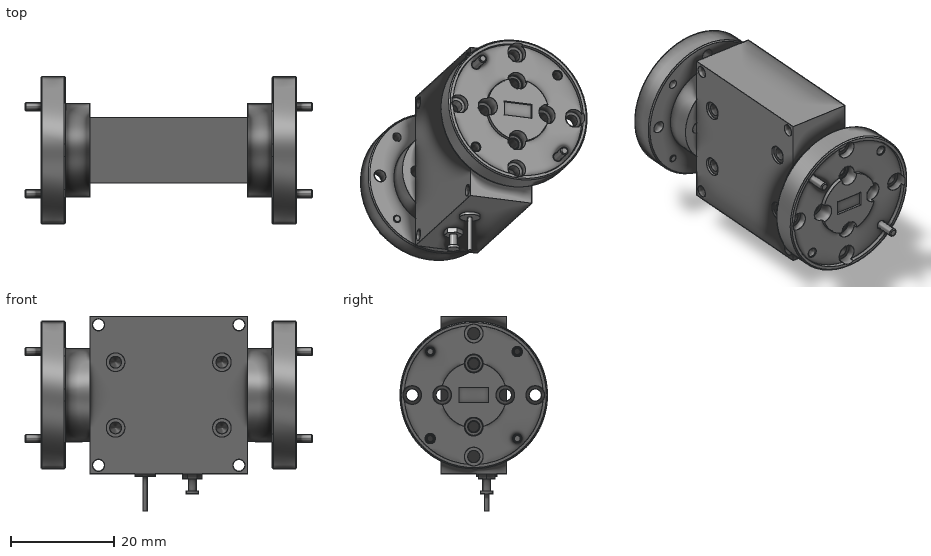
import cadquery as cq
import math

BLOCK_SIDE = 30.48
BLOCK_DEPTH = 12.7
CORNER_HOLE_DIAMETER = 2.26
CORNER_HOLE_OFFSET = 13.59

MOUNT_HOLE_X = 10.29
MOUNT_HOLE_Z = 6.35
MOUNT_HOLE_DIAMETER = 2.3
MOUNT_HOLE_DEPTH = 5.0
MOUNT_BORE_DIAMETER = 3.6
MOUNT_BORE_DEPTH = 0.5
DRILL_TIP_ANGLE = 118

FLANGE_DIAMETER = 28.575
FLANGE_THICKNESS = 4.76
FLANGE_CHAMFER = 0.25
NECK_DIAMETER = 18.1
NECK_LENGTH = 4.76
FACE_X = BLOCK_SIDE / 2 + NECK_LENGTH + FLANGE_THICKNESS

RECESS_OUTER_DIAMETER = 26.9
RECESS_INNER_DIAMETER = 12.7
RECESS_DEPTH = 0.85
WAVEGUIDE_WIDTH = 5.69
WAVEGUIDE_HEIGHT = 2.84
WAVEGUIDE_DEPTH = 0.5

BOLT_CIRCLE_RADIUS = 11.906
INNER_CIRCLE_RADIUS = 6.11
BOLT_HOLE_DIAMETER = 2.35
BOLT_BORE_DIAMETER = 3.62
OUTER_BORE_DEPTH = 2.4
SIDE_BORE_DEPTH = 3.2
UPRIGHT_BORE_DEPTH = 2.7
UPRIGHT_BORE_CHAMFER = 0.13
COUNTERSINK_HALF_ANGLE = 45
PIN_DIAMETER = 1.57
PIN_HOLE_DIAMETER = 1.7
PIN_SEAT_RIM_DIAMETER = 1.8
PIN_HOLE_RIM_DIAMETER = 2.0
OVERALL_LENGTH = 55.68
PIN_LENGTH = 8.0
PIN_CHAMFER = 0.2

TERMINAL_Y = 2.5
LEAD_X = -4.57
LEAD_DIAMETER = 0.91
LEAD_LENGTH = 7.24
LEAD_COLLAR_DIAMETER = 4.0
LEAD_COLLAR_HEIGHT = 0.5
POST_X = 4.57
POST_DIAMETER = 1.57
POST_LENGTH = 3.87
POST_NUT_CORNER_DIAMETER = 3.74
POST_NUT_HEIGHT = 1.0
HEXAGON_SIDES = 6
POST_CAP_DIAMETER = 2.45
POST_CAP_HEIGHT = 0.55


def make_block():
    """Square block with through holes in its corners and blind holes in its -Y face."""
    block = cq.Workplane("XY").box(BLOCK_SIDE, BLOCK_DEPTH, BLOCK_SIDE)
    face = cq.Workplane("XZ", origin=(0, -BLOCK_DEPTH / 2, 0))
    corners = face.rect(2 * CORNER_HOLE_OFFSET, 2 * CORNER_HOLE_OFFSET, forConstruction=True).vertices()
    block = block.cut(corners.circle(CORNER_HOLE_DIAMETER / 2).extrude(-BLOCK_DEPTH))

    tip_height = MOUNT_HOLE_DIAMETER / 2 / math.tan(math.radians(DRILL_TIP_ANGLE / 2))
    profile = [
        (0, 0),
        (MOUNT_BORE_DIAMETER / 2, 0),
        (MOUNT_BORE_DIAMETER / 2, MOUNT_BORE_DEPTH),
        (MOUNT_HOLE_DIAMETER / 2, MOUNT_BORE_DEPTH),
        (MOUNT_HOLE_DIAMETER / 2, MOUNT_HOLE_DEPTH),
        (0, MOUNT_HOLE_DEPTH + tip_height),
    ]
    drill = cq.Workplane("XY").polyline(profile).close().revolve(360, (0, 0, 0), (0, 1, 0))
    for x in (-MOUNT_HOLE_X, MOUNT_HOLE_X):
        for z in (-MOUNT_HOLE_Z, MOUNT_HOLE_Z):
            block = block.cut(drill.translate((x, -BLOCK_DEPTH / 2, z)))
    return block


def x_cylinder(diameter, start, end, y=0.0, z=0.0):
    """Cylinder along X from start to end."""
    base = cq.Workplane("YZ", origin=(start, y, z))
    return base.circle(diameter / 2).extrude(end - start)


def entry_cone(hole_diameter, rim_diameter, start, y, z):
    """Countersink with depth equal to its bevel width, narrowing from rim to hole in the +X direction."""
    depth = (rim_diameter - hole_diameter) / 2
    base = cq.Workplane("YZ", origin=(start, y, z)).circle(rim_diameter / 2)
    return base.extrude(depth, taper=COUNTERSINK_HALF_ANGLE)


def counterbore(bore_depth, y, z):
    """Cutter for a bolt hole through flange and neck with a wide bore at the flange face."""
    bore_floor_x = -FACE_X + bore_depth
    bore = x_cylinder(BOLT_BORE_DIAMETER, -FACE_X, bore_floor_x, y, z)
    return bore.union(x_cylinder(BOLT_HOLE_DIAMETER, -FACE_X, -BLOCK_SIDE / 2, y, z))


def chamfered_counterbore(bore_depth, y, z):
    """Counterbore cutter with a bevelled floor corner and a countersink at the narrower hole's mouth."""
    bore_floor_x = -FACE_X + bore_depth
    hole_diameter = BOLT_HOLE_DIAMETER - 2 * UPRIGHT_BORE_CHAMFER
    bore = x_cylinder(BOLT_BORE_DIAMETER, -FACE_X, bore_floor_x, y, z)
    bore = bore.faces(">X").edges().chamfer(UPRIGHT_BORE_CHAMFER)
    hole = x_cylinder(hole_diameter, -FACE_X, -BLOCK_SIDE / 2, y, z)
    return bore.union(hole).union(entry_cone(hole_diameter, BOLT_HOLE_DIAMETER, bore_floor_x, y, z))


def make_flange():
    """Flange with neck, holes and pins on the -X end of the block."""
    face_x = -FACE_X
    back_x = face_x + FLANGE_THICKNESS
    floor_x = face_x + RECESS_DEPTH

    flange = x_cylinder(FLANGE_DIAMETER, face_x, back_x).edges().chamfer(FLANGE_CHAMFER)
    recess = x_cylinder(RECESS_OUTER_DIAMETER, face_x, floor_x)
    boss = x_cylinder(RECESS_INNER_DIAMETER, face_x, floor_x)
    flange = flange.cut(recess.cut(boss)).union(x_cylinder(NECK_DIAMETER, back_x, -BLOCK_SIDE / 2))

    waveguide = cq.Workplane("YZ", origin=(face_x, 0, 0)).rect(WAVEGUIDE_WIDTH, WAVEGUIDE_HEIGHT)
    flange = flange.cut(waveguide.extrude(WAVEGUIDE_DEPTH))

    for side in (-1, 1):
        outer = side * BOLT_CIRCLE_RADIUS
        inner = side * INNER_CIRCLE_RADIUS
        flange = flange.cut(counterbore(OUTER_BORE_DEPTH, outer, 0))
        flange = flange.cut(counterbore(OUTER_BORE_DEPTH, 0, outer))
        flange = flange.cut(counterbore(SIDE_BORE_DEPTH, inner, 0))
        flange = flange.cut(chamfered_counterbore(UPRIGHT_BORE_DEPTH, 0, inner))

    offset = BOLT_CIRCLE_RADIUS / math.sqrt(2)
    tip_x = -OVERALL_LENGTH / 2
    for side in (-1, 1):
        y = side * offset
        z = side * offset
        hole = x_cylinder(PIN_HOLE_DIAMETER, face_x, back_x, -y, z)
        hole = hole.union(entry_cone(PIN_HOLE_DIAMETER, PIN_HOLE_RIM_DIAMETER, floor_x, -y, z))
        pin = x_cylinder(PIN_DIAMETER, tip_x, tip_x + PIN_LENGTH, y, z).edges().chamfer(PIN_CHAMFER)
        flange = flange.cut(hole).cut(entry_cone(PIN_DIAMETER, PIN_SEAT_RIM_DIAMETER, floor_x, y, z))
        flange = flange.union(pin)
    return flange


def z_cylinder(diameter, x, top, height):
    """Cylinder hanging down from the height top at a terminal position."""
    return cq.Workplane("XY", origin=(x, TERMINAL_Y, top)).circle(diameter / 2).extrude(-height)


def make_terminals():
    """Collared lead and hex-based post below the block."""
    bottom = -BLOCK_SIDE / 2
    lead = z_cylinder(LEAD_DIAMETER, LEAD_X, bottom, LEAD_LENGTH)
    collar = z_cylinder(LEAD_COLLAR_DIAMETER, LEAD_X, bottom, LEAD_COLLAR_HEIGHT)
    post = z_cylinder(POST_DIAMETER, POST_X, bottom, POST_LENGTH)
    cap = z_cylinder(POST_CAP_DIAMETER, POST_X, bottom - POST_LENGTH + POST_CAP_HEIGHT, POST_CAP_HEIGHT)
    nut_base = cq.Workplane("XY", origin=(POST_X, TERMINAL_Y, bottom))
    nut = nut_base.polygon(HEXAGON_SIDES, POST_NUT_CORNER_DIAMETER).extrude(-POST_NUT_HEIGHT)
    return [lead, collar, post, cap, nut]


flange = make_flange()
opposite_flange = flange.rotate((0, 0, 0), (0, 0, 1), 180)
result = make_block().union(flange).union(opposite_flange)
for piece in make_terminals():
    result = result.union(piece)